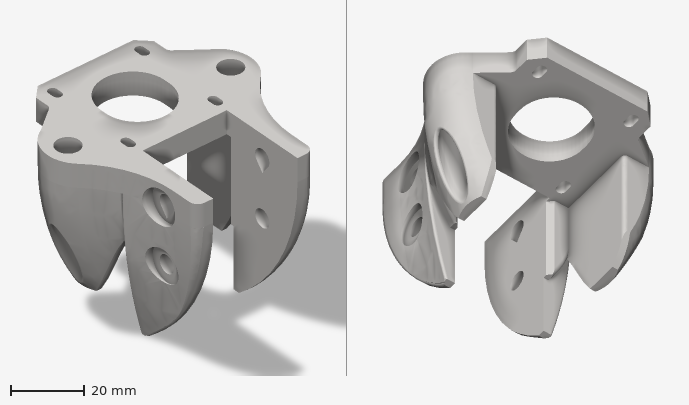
import cadquery as cq
import math


PLATE_THICK = 8.0
MOTOR_HALF = 21.0
CORNER_CHAMFER = 4.0
ARM_END_X = 51.0
ARM_INNER_Y = 15.0
ARM_CORNER_R = 3.0
EAR_X = 6.0
EAR_ARC_Y = 24.6
EAR_R = 11.7
ARM_BLEND_END_X = 41.1
LEG_FRONT_X = -4.35
EAR_FLANK_SLOPE = 1.3
FLANK_BLEND_R = 2.0

BORE_DIA = 22.55
SCREW_DIA = 3.05
SCREW_PITCH = 31.05
SLOT_TRAVEL = 1.95
ROD_DIA = 8.0
ROD_Y = 29.0

LEG_INNER_Y = 21.4
LEG_BOTTOM_Z = -48.2
LEG_TAPER = 0.007307
LEG_TIP_HALF = 5.15
LEG_FRONT_CURVE_Z = -37.7
LEG_FRONT_CURVE_MID = (-2.2, -43.65)
LEG_REAR_CURVE = ((15.15, -41.1), (20.75, -29.3))
LEG_REAR_TOP_Z = -23.9
LEG_EDGE_R = 1.2
SCOOP_EDGE_R = 0.7
SCOOP_MID_Z = -38.45

WEB_BOTTOM_Z = -37.0
WEB_CHAMFER = 1.7
WEB_OUTER_R = 1.3
WEB_TIP_Y = 16.7
WEB_CURVE_MID = (19.4, -32.4)
WEB_CURVE_TOP_Z = -27.7
WEB_OVERLAP = 0.7
WEB_OVERLAP_RISE = 1.95

ARM_FRONT_X = 23.9
ARM_BOTTOM_Z = -58.0
ARM_TIP_X = 26.2
ARM_TAPER = 0.002757
ARM_ROUND_END_Z = -40.6
WASTE_OVERLAP = 0.035
WASTE_SECTIONS = 7
WASTE_MARGIN = 0.7
ARM_EDGE_R = 0.65
TIP_BEVEL = 0.65
ARM_FRONT_EDGE_R = 0.65

PIVOT_X = 36.05
PIVOT_DIA = 6.0
PIVOT_SEAT_DIA = 12.0
PIVOT_SEAT_Y = 19.0
PIVOT_TOP_Z = -PLATE_THICK
PIVOT_LOW_Z = -28.0
TEARDROP_TIP = 4.85

ear_rise = EAR_ARC_Y - MOTOR_HALF
blend_dx = ARM_BLEND_END_X - EAR_X
BLEND_R = (blend_dx**2 + ear_rise**2 - EAR_R**2) / (2 * (EAR_R + ear_rise))
BLEND_Y = MOTOR_HALF + BLEND_R
PART_HALF_Y = EAR_ARC_Y + EAR_R
EAR_END_X = EAR_X + EAR_R * blend_dx / (EAR_R + BLEND_R)

arm_dx = ARM_END_X - ARM_TIP_X
arm_dz = -PLATE_THICK - ARM_BOTTOM_Z
ARM_REAR_R = (arm_dx**2 + arm_dz**2) / (2 * arm_dx)


def ear_y(x):
    return EAR_ARC_Y + math.sqrt(EAR_R**2 - (x - EAR_X)**2)


def blend_y(x):
    return BLEND_Y - math.sqrt(BLEND_R**2 - (x - ARM_BLEND_END_X)**2)


def blend_mid(x_start, x_end, shift=0.0):
    """Middle point of the concave blend between two X positions, moved inward by shift."""
    x = (x_start + x_end) / 2
    return x, blend_y(x) - shift


def drift(taper, z):
    """Inward drift of an outer face at height z, zero at the plate underside."""
    return taper * (z + PLATE_THICK)**2


rod_hole = (
    cq.Workplane("XY")
    .center(EAR_X, ROD_Y)
    .circle(ROD_DIA / 2)
    .extrude(ARM_BOTTOM_Z)
)


def make_plate():
    flank_x = LEG_FRONT_X - (ear_y(LEG_FRONT_X) - MOTOR_HALF) / EAR_FLANK_SLOPE
    half = (
        cq.Workplane("XY", origin=(0, 0, -PLATE_THICK))
        .moveTo(-MOTOR_HALF, 0)
        .lineTo(-MOTOR_HALF, MOTOR_HALF - CORNER_CHAMFER)
        .lineTo(-MOTOR_HALF + CORNER_CHAMFER, MOTOR_HALF)
        .lineTo(flank_x, MOTOR_HALF)
        .lineTo(LEG_FRONT_X, ear_y(LEG_FRONT_X))
        .threePointArc((EAR_X, PART_HALF_Y), (EAR_END_X, ear_y(EAR_END_X)))
        .threePointArc(blend_mid(EAR_END_X, ARM_BLEND_END_X), (ARM_BLEND_END_X, MOTOR_HALF))
        .lineTo(ARM_END_X, MOTOR_HALF)
        .lineTo(ARM_END_X, ARM_INNER_Y)
        .lineTo(MOTOR_HALF, ARM_INNER_Y)
        .lineTo(MOTOR_HALF, 0)
        .close()
        .extrude(PLATE_THICK)
    )
    flank_corner = cq.selectors.NearestToPointSelector((flank_x, MOTOR_HALF, -PLATE_THICK / 2))
    half = half.edges("|Z").edges(flank_corner).fillet(FLANK_BLEND_R)
    arm_corner = cq.selectors.NearestToPointSelector((ARM_END_X, MOTOR_HALF, -PLATE_THICK / 2))
    return half.edges("|Z").edges(arm_corner).fillet(ARM_CORNER_R)


def levels(top_z, bottom_z, count=5):
    """Evenly spaced section heights from top_z to bottom_z."""
    return [top_z + (bottom_z - top_z) * i / (count - 1) for i in range(count)]


def leg_section(z):
    shift = drift(LEG_TAPER, z)
    return (
        cq.Workplane("XY", origin=(0, 0, z))
        .moveTo(LEG_FRONT_X, 0)
        .lineTo(LEG_FRONT_X, ear_y(LEG_FRONT_X) - shift)
        .threePointArc((EAR_X, PART_HALF_Y - shift), (EAR_END_X, ear_y(EAR_END_X) - shift))
        .threePointArc(blend_mid(EAR_END_X, ARM_FRONT_X, shift), (ARM_FRONT_X, blend_y(ARM_FRONT_X) - shift))
        .lineTo(ARM_FRONT_X, 0)
        .close()
        .wire()
        .val()
    )


def make_leg():
    body = cq.Workplane(cq.Solid.makeLoft([leg_section(z) for z in levels(-PLATE_THICK, LEG_BOTTOM_Z)]))
    side = (
        cq.Workplane("XZ", origin=(0, LEG_INNER_Y, 0))
        .moveTo(LEG_FRONT_X, -PLATE_THICK)
        .lineTo(LEG_FRONT_X, LEG_FRONT_CURVE_Z)
        .threePointArc(LEG_FRONT_CURVE_MID, (EAR_X - LEG_TIP_HALF, LEG_BOTTOM_Z))
        .lineTo(EAR_X + LEG_TIP_HALF, LEG_BOTTOM_Z)
        .spline([*LEG_REAR_CURVE, (ARM_FRONT_X, LEG_REAR_TOP_Z)], includeCurrent=True)
        .lineTo(ARM_FRONT_X, -PLATE_THICK)
        .close()
        .extrude(-PART_HALF_Y)
    )
    leg = body.intersect(side)
    leg = leg.faces("<X").edges("<Y").fillet(LEG_EDGE_R)
    leg = leg.cut(rod_hole)
    scoop_rim = cq.selectors.NearestToPointSelector((EAR_X, ROD_Y, SCOOP_MID_Z))
    return leg.edges(scoop_rim).fillet(SCOOP_EDGE_R)


def make_web():
    web = (
        cq.Workplane("YZ", origin=(MOTOR_HALF, 0, 0))
        .moveTo(ARM_INNER_Y, -PLATE_THICK)
        .lineTo(ARM_INNER_Y, WEB_BOTTOM_Z)
        .lineTo(WEB_TIP_Y, WEB_BOTTOM_Z)
        .threePointArc(WEB_CURVE_MID, (LEG_INNER_Y, WEB_CURVE_TOP_Z))
        .lineTo(LEG_INNER_Y + WEB_OVERLAP, WEB_CURVE_TOP_Z + WEB_OVERLAP_RISE)
        .lineTo(LEG_INNER_Y + WEB_OVERLAP, -PLATE_THICK)
        .close()
        .extrude(ARM_FRONT_X - MOTOR_HALF)
    )
    inner_edge = cq.selectors.NearestToPointSelector((MOTOR_HALF, ARM_INNER_Y, WEB_BOTTOM_Z / 2))
    web = web.edges("|Z").edges(inner_edge).chamfer(WEB_CHAMFER)
    outer_edge = cq.selectors.NearestToPointSelector((MOTOR_HALF, *WEB_CURVE_MID))
    return web.faces("<X").edges(outer_edge).fillet(WEB_OUTER_R)


def arm_rear_x(z):
    return ARM_END_X - ARM_REAR_R + math.sqrt(ARM_REAR_R**2 - (z + PLATE_THICK)**2)


def arm_outer_y(x, z):
    return blend_y(min(x, ARM_BLEND_END_X)) - drift(ARM_TAPER, z)


def arm_section(z):
    return (
        cq.Workplane("XY", origin=(0, 0, z))
        .moveTo(ARM_FRONT_X, ARM_INNER_Y)
        .lineTo(ARM_FRONT_X, arm_outer_y(ARM_FRONT_X, z))
        .threePointArc(
            blend_mid(ARM_FRONT_X, ARM_BLEND_END_X, drift(ARM_TAPER, z)),
            (ARM_BLEND_END_X, arm_outer_y(ARM_BLEND_END_X, z)),
        )
        .lineTo(ARM_END_X, arm_outer_y(ARM_END_X, z))
        .lineTo(ARM_END_X, ARM_INNER_Y)
        .close()
        .wire()
        .val()
    )


def arm_corner_waste(z):
    """Section of the waste outside the rear outer edge, whose rounding fades out downwards."""
    fade = (z + PLATE_THICK) / (ARM_ROUND_END_Z + PLATE_THICK)
    radius = max(ARM_EDGE_R, ARM_CORNER_R + (ARM_EDGE_R - ARM_CORNER_R) * fade)
    x = arm_rear_x(z)
    y = arm_outer_y(x, z)
    mid = radius * (1 - math.sqrt(0.5))
    return (
        cq.Workplane("XY", origin=(0, 0, z))
        .moveTo(x + WASTE_OVERLAP, y - radius)
        .threePointArc((x - mid, y - mid), (x - radius, y + WASTE_OVERLAP))
        .lineTo(x - radius, y + WASTE_MARGIN)
        .lineTo(x + WASTE_MARGIN, y + WASTE_MARGIN)
        .lineTo(x + WASTE_MARGIN, y - radius)
        .close()
        .wire()
        .val()
    )


def make_arm():
    mid_z = (ARM_BOTTOM_Z - PLATE_THICK) / 2
    side = (
        cq.Workplane("XZ", origin=(0, ARM_INNER_Y, 0))
        .moveTo(ARM_FRONT_X, -PLATE_THICK)
        .lineTo(ARM_FRONT_X, ARM_BOTTOM_Z)
        .lineTo(ARM_TIP_X, ARM_BOTTOM_Z)
        .threePointArc((arm_rear_x(mid_z), mid_z), (ARM_END_X, -PLATE_THICK))
        .close()
        .extrude(-ARM_INNER_Y)
    )
    heights = levels(-PLATE_THICK, ARM_BOTTOM_Z)
    arm = cq.Workplane(cq.Solid.makeLoft([arm_section(z) for z in heights])).intersect(side)
    arm = arm.faces("<X").edges(">Y").fillet(ARM_FRONT_EDGE_R)
    waste_heights = levels(-PLATE_THICK, ARM_BOTTOM_Z, WASTE_SECTIONS)
    waste = cq.Workplane(cq.Solid.makeLoft([arm_corner_waste(z) for z in waste_heights]))
    arm = arm.cut(waste)
    tip_y = arm_outer_y(ARM_FRONT_X, ARM_BOTTOM_Z)
    tip_bevel = (
        cq.Workplane("YZ", origin=(ARM_FRONT_X, 0, 0))
        .polyline([
            (tip_y - TIP_BEVEL, ARM_BOTTOM_Z),
            (tip_y + TIP_BEVEL, ARM_BOTTOM_Z + 2 * TIP_BEVEL),
            (tip_y + TIP_BEVEL, ARM_BOTTOM_Z),
        ])
        .close()
        .extrude(ARM_END_X - ARM_FRONT_X)
    )
    return arm.cut(tip_bevel)


def cut_plate_openings(body):
    bore_length = BORE_DIA + SLOT_TRAVEL
    screw_points = [(sx * SCREW_PITCH / 2, SCREW_PITCH / 2) for sx in (-1, 1)]
    bore = cq.Workplane("XY").slot2D(bore_length, BORE_DIA).extrude(-PLATE_THICK)
    slots = (
        cq.Workplane("XY")
        .pushPoints(screw_points)
        .slot2D(SCREW_DIA + SLOT_TRAVEL, SCREW_DIA)
        .extrude(-PLATE_THICK)
    )
    return body.cut(bore).cut(slots)


def y_cylinder(z, dia, y_start):
    return cq.Workplane("XZ", origin=(PIVOT_X, y_start, z)).circle(dia / 2).extrude(-PART_HALF_Y)


def cut_pivots(body):
    for z in (PIVOT_TOP_Z, PIVOT_LOW_Z):
        body = body.cut(y_cylinder(z, PIVOT_DIA, 0))
        body = body.cut(y_cylinder(z, PIVOT_SEAT_DIA, PIVOT_SEAT_Y))
    radius = PIVOT_DIA / 2
    touch_z = -radius**2 / TEARDROP_TIP
    touch_x = math.sqrt(radius**2 - touch_z**2)
    teardrop = (
        cq.Workplane("XZ", origin=(PIVOT_X, 0, PIVOT_TOP_Z))
        .polyline([(0, 0), (touch_x, touch_z), (0, -TEARDROP_TIP), (-touch_x, touch_z)])
        .close()
        .extrude(-PART_HALF_Y)
    )
    return body.cut(teardrop)


half = make_plate().cut(rod_hole)
for piece in (make_leg(), make_web(), make_arm()):
    half = half.union(piece)
half = cut_pivots(cut_plate_openings(half))
result = half.union(half.mirror("XZ"))